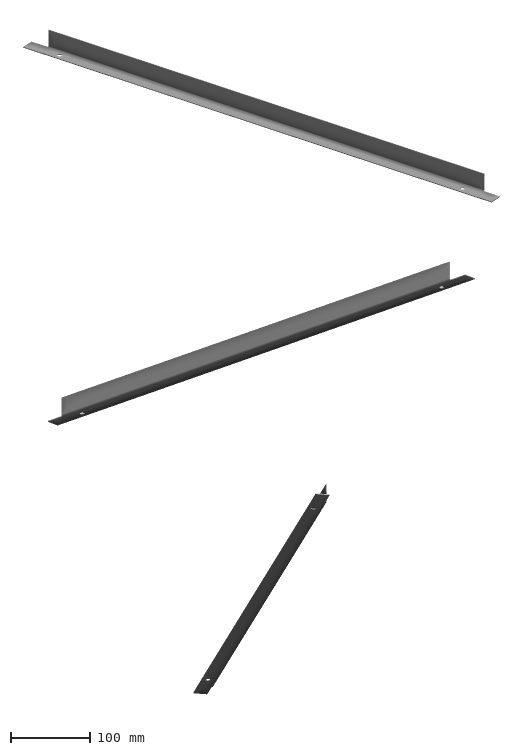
import cadquery as cq

flange_length = 726.0
depth = 20.0
height = 25.0
thickness = 1.2
inner_bend_radius = 1.0
outer_bend_radius = inner_bend_radius + thickness

end_setback = 25.5
web_length = flange_length - 2 * end_setback

hole_diameter = 6.5
hole_end_distance = 50.5
hole_front_distance = 8.0

bend_start_y = depth - outer_bend_radius


def make_flange():
    """Flat strip that ends at the start of the bend."""
    return cq.Workplane("XY").box(
        flange_length, bend_start_y, thickness, centered=(True, False, False)
    )


def make_bent_web():
    """Quarter-round bend and upright wall, extruded along X."""
    bend_profile = (
        cq.Workplane("YZ", origin=(-web_length / 2, 0, 0))
        .moveTo(bend_start_y, 0)
        .radiusArc((depth, outer_bend_radius), -outer_bend_radius)
        .lineTo(depth, height)
        .lineTo(depth - thickness, height)
        .lineTo(depth - thickness, outer_bend_radius)
        .radiusArc((bend_start_y, thickness), inner_bend_radius)
        .close()
    )
    return bend_profile.extrude(web_length)


def make_hole_cutters():
    """Mounting holes, one near each end of the flange."""
    hole_x = flange_length / 2 - hole_end_distance
    return (
        cq.Workplane("XY")
        .pushPoints([(side * hole_x, hole_front_distance) for side in (-1, 1)])
        .circle(hole_diameter / 2)
        .extrude(thickness)
    )


result = make_flange().union(make_bent_web()).cut(make_hole_cutters())